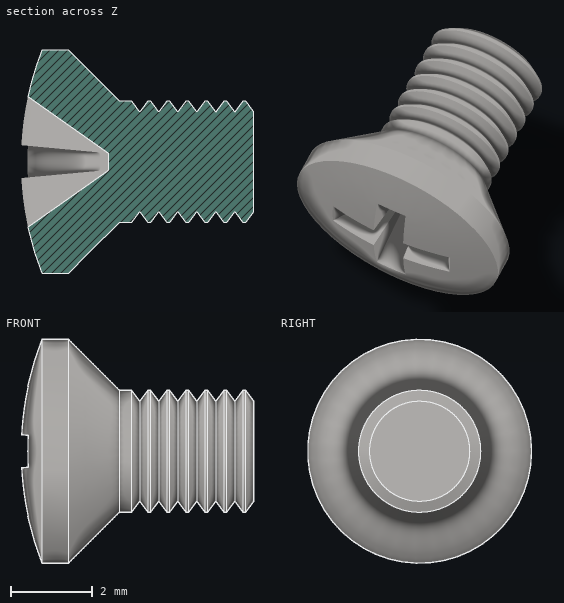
import cadquery as cq
import math


head_radius = 2.75
rim_length = 0.65
dome_height = 0.52

shank_radius = 1.5
cone_length = head_radius - shank_radius
neck_length = 0.3

thread_length = 3.0
thread_count = 6
thread_depth = 0.27
flank_length = 0.2
pitch = (thread_length - flank_length) / thread_count
crest_length = pitch - 2 * flank_length
root_radius = shank_radius - thread_depth

bar_span = 3.44
bar_width = 0.81
floor_width = 0.41
recess_depth = 2.15


def dome_x(radius):
    """X position of the spherical dome at a given distance from the axis."""
    sphere_radius = (head_radius**2 + dome_height**2) / (2 * dome_height)
    drop = sphere_radius - math.sqrt(sphere_radius**2 - radius**2)
    return drop - dome_height


def make_body():
    """Revolve the half profile of head, neck and thread rings about X."""
    dome_mid_radius = head_radius / 2
    cone_end = rim_length + cone_length
    thread_start = cone_end + neck_length
    root_x = thread_start + flank_length

    profile = (
        cq.Workplane("XY")
        .moveTo(-dome_height, 0)
        .threePointArc((dome_x(dome_mid_radius), dome_mid_radius), (0, head_radius))
        .lineTo(rim_length, head_radius)
        .lineTo(cone_end, shank_radius)
        .lineTo(thread_start, shank_radius)
        .lineTo(root_x, root_radius)
    )
    for _ in range(thread_count):
        crest_x = root_x + flank_length
        root_x += pitch
        profile = (
            profile.lineTo(crest_x, shank_radius)
            .lineTo(crest_x + crest_length, shank_radius)
            .lineTo(root_x, root_radius)
        )
    profile = profile.lineTo(root_x, 0).close()
    return profile.revolve(360, (0, 0, 0), (1, 0, 0))


def make_recess_bar(size_y, size_z):
    """One bar of the cross, tapering from the dome apex plane to the floor."""
    return (
        cq.Workplane("YZ", origin=(-dome_height, 0, 0))
        .rect(size_y, size_z)
        .workplane(offset=recess_depth)
        .rect(floor_width, floor_width)
        .loft(ruled=True)
    )


recess = make_recess_bar(bar_span, bar_width).union(make_recess_bar(bar_width, bar_span))
result = make_body().cut(recess)